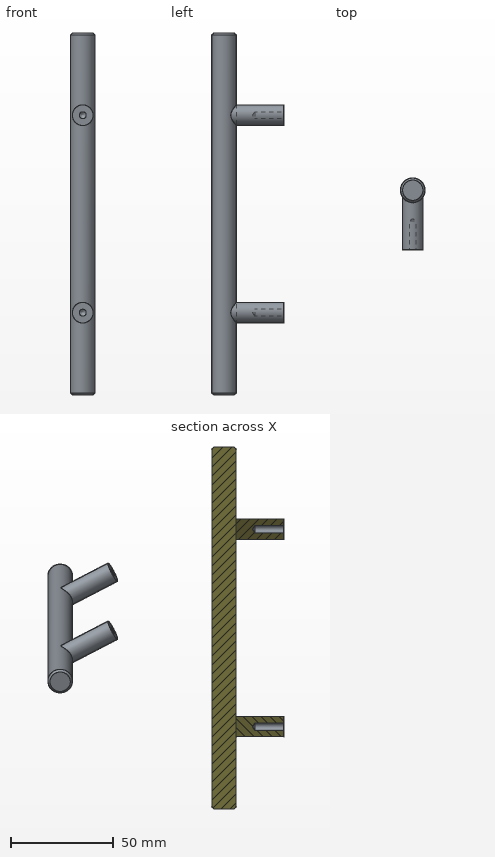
import cadquery as cq

BAR_LENGTH = 176.0
BAR_DIAMETER = 12.0
BAR_RADIUS = BAR_DIAMETER / 2
BAR_CHAMFER = 1.0

POST_DIAMETER = 10.0
POST_SPACING = 96.0
OVERALL_DEPTH = 35.0
POST_REACH = OVERALL_DEPTH - BAR_RADIUS

HOLE_DIAMETER = 3.3
HOLE_RADIUS = HOLE_DIAMETER / 2
HOLE_DEPTH = 14.0
HOLE_POINT_DEPTH = 1.0


def make_bar_blank():
    """Plain rod without end chamfers."""
    bottom = cq.Workplane("XY").workplane(offset=-BAR_LENGTH / 2)
    return bottom.circle(BAR_RADIUS).extrude(BAR_LENGTH)


def make_bar():
    """Rod with both end edges chamfered."""
    return make_bar_blank().edges("%CIRCLE").chamfer(BAR_CHAMFER)


def make_screw_hole():
    """Hole volume revolved about the post axis, opening at the end face."""
    wall_end = HOLE_DEPTH - POST_REACH
    return (
        cq.Workplane("XY")
        .moveTo(0, -POST_REACH)
        .lineTo(HOLE_RADIUS, -POST_REACH)
        .lineTo(HOLE_RADIUS, wall_end)
        .lineTo(0, wall_end + HOLE_POINT_DEPTH)
        .close()
        .revolve(360, (0, 0), (0, 1))
    )


def make_post(height):
    """Post at the given height, its inner end saddled to fit the bar."""
    post = (
        cq.Workplane("XZ")
        .circle(POST_DIAMETER / 2)
        .extrude(POST_REACH)
        .cut(make_bar_blank())
        .cut(make_screw_hole())
    )
    return post.translate((0, 0, height))


bar = make_bar()
posts = [make_post(side * POST_SPACING / 2) for side in (-1, 1)]

result = cq.Compound.makeCompound([bar.val(), *(post.val() for post in posts)])